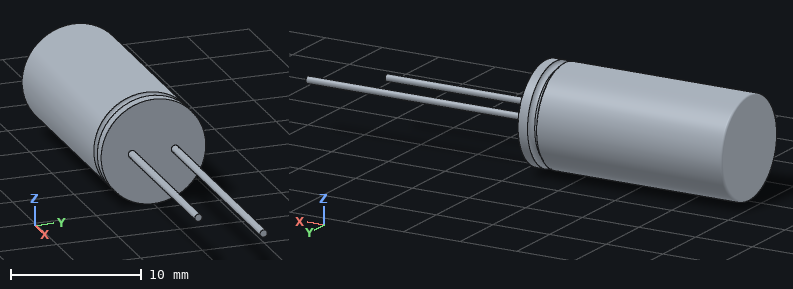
import cadquery as cq
import math

overall_length = 38.0
body_diameter = 8.5
body_length = 18.0
edge_fillet = 0.2

groove_width = 0.8
groove_to_lead_end = 1.25

lead_diameter = 0.6
lead_pitch = 3.5
long_lead_length = overall_length - body_length
short_lead_length = 15.0

body_radius = body_diameter / 2
can_start = -overall_length / 2
body_end = can_start + body_length
groove_radius = groove_width / 2
groove_centre = body_end - groove_to_lead_end
groove_floor = body_radius - groove_radius
groove_diagonal = groove_radius * math.sqrt(0.5)


def make_half_body(flat_end, groove_side):
    """Revolve about X from a flat end to the groove floor.

    groove_side is -1 for the stretch before the groove and +1 for the one after it.
    """
    return (
        cq.Workplane("XY")
        .moveTo(flat_end, 0)
        .lineTo(flat_end, body_radius)
        .lineTo(groove_centre + groove_side * groove_radius, body_radius)
        .threePointArc(
            (groove_centre + groove_side * groove_diagonal, body_radius - groove_diagonal),
            (groove_centre, groove_floor),
        )
        .lineTo(groove_centre, 0)
        .close()
        .revolve(360, (0, 0, 0), (1, 0, 0))
    )


def make_can():
    """Long can with a rounded rim on its closed end."""
    can = make_half_body(can_start, groove_side=-1)
    return can.faces("<X").edges().fillet(edge_fillet)


def make_end_seal():
    """Short disc that closes the can on the lead side."""
    return make_half_body(body_end, groove_side=1)


def make_lead(y, length):
    """Round wire standing on the end seal and running toward +X."""
    return (
        cq.Workplane("YZ", origin=(body_end, y, 0))
        .circle(lead_diameter / 2)
        .extrude(length)
    )


can = make_can()
end_seal = make_end_seal()

lead_places = [
    (lead_pitch / 2, long_lead_length),
    (-lead_pitch / 2, short_lead_length),
]
leads = [make_lead(y, length) for y, length in lead_places]

result = cq.Compound.makeCompound(
    [can.val(), end_seal.val(), *[lead.val() for lead in leads]]
)